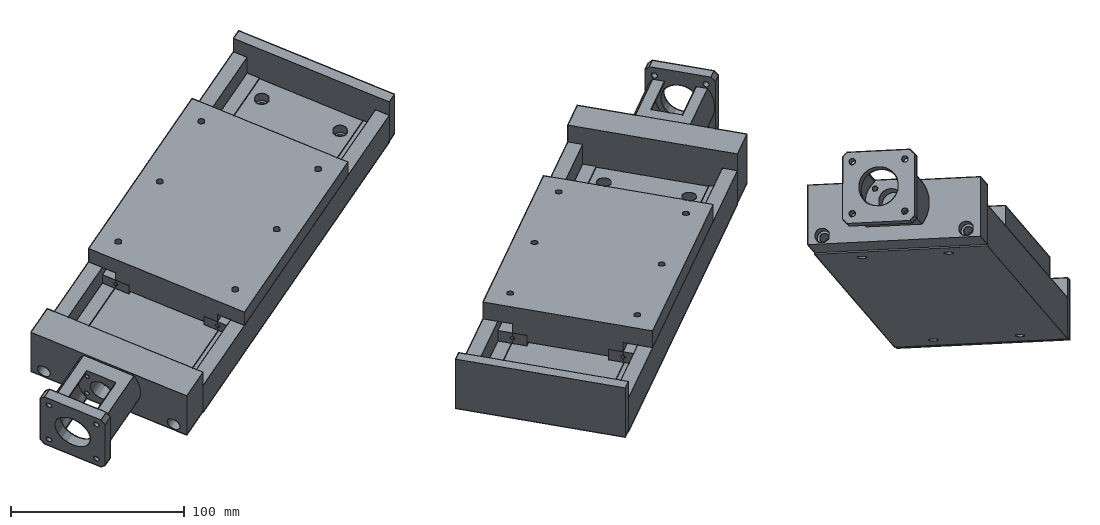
import cadquery as cq

STAGE_WIDTH = 101.5
STAGE_TOP = 36.2
OVERALL_HEIGHT = 43.5

BASE_LENGTH = 228.5
BASE_HEIGHT = 24.3
WALL_THICKNESS = 9.0
FLOOR_TOP = 9.5
RAIL_SEAT_STEP = 0.5
RAIL_SEAT_WIDTH = 8.0
BASE_HOLE_SPACING_X = 51.0
BASE_HOLE_SPACING_Y = 203.0

SCREW_HOLE_DIAMETER = 5.5
COUNTERBORE_DIAMETER = 8.5
COUNTERBORE_DEPTH = 6.5

PLATE_GROUND_GAP = 1.0
END_PLATE_THICKNESS = 6.5
FRONT_BLOCK_THICKNESS = 20.0
BLOCK_HOLE_SPACING = 84.5
BLOCK_HOLE_HEIGHT = 6.0

CARRIAGE_LENGTH = 127.0
CARRIAGE_FLOOR_GAP = 3.3
CARRIAGE_HOLE_DIAMETER = 4.0
CARRIAGE_HOLE_SPACING_X = 76.0
CARRIAGE_HOLE_SPACING_Y = 51.0

RAIL_WIDTH = 8.7
RAIL_HEIGHT = 7.5
RAIL_GROOVE_DEPTH = 1.5

MOUNT_TUBE_DIAMETER = 41.3
MOUNT_TUBE_HEIGHT = 25.2
MOUNT_BACK_WALL = 9.3
MOUNT_WINDOW_WIDTH = 19.0
MOUNT_CAVITY_DIAMETER = 30.0
MOTOR_PILOT_DIAMETER = 23.0
SHAFT_HOLE_DIAMETER = 14.0
MOUNT_SCREW_SPACING_X = 18.5
MOUNT_SCREW_SPACING_Z = 15.0
MOUNT_SCREW_DIAMETER = 3.0
FLANGE_SIZE = 42.2
FLANGE_THICKNESS = 6.5
FLANGE_CHAMFER = 2.7
FLANGE_HOLE_SPACING = 30.8
FLANGE_HOLE_DIAMETER = 3.5
OVERALL_LENGTH = 299.5

CHANNEL_WIDTH = STAGE_WIDTH - 2 * WALL_THICKNESS
CARRIAGE_BODY_WIDTH = CHANNEL_WIDTH - 2 * RAIL_WIDTH
RAIL_BOTTOM = FLOOR_TOP + RAIL_SEAT_STEP
RAIL_TOP = RAIL_BOTTOM + RAIL_HEIGHT
RAIL_JOINT_X = CARRIAGE_BODY_WIDTH / 2
CHANNEL_WALL_X = CHANNEL_WIDTH / 2

BASE_FRONT_Y = -BASE_LENGTH / 2
BASE_BACK_Y = BASE_LENGTH / 2
BLOCK_FRONT_Y = BASE_FRONT_Y - FRONT_BLOCK_THICKNESS
FLANGE_FRONT_Y = BASE_BACK_Y + END_PLATE_THICKNESS - OVERALL_LENGTH
FLANGE_BACK_Y = FLANGE_FRONT_Y + FLANGE_THICKNESS
MOUNT_WALL_Y = BLOCK_FRONT_Y - MOUNT_BACK_WALL
MOUNT_AXIS_Z = OVERALL_HEIGHT - FLANGE_SIZE / 2


def box_between(x_range, y_range, z_range):
    """Axis-aligned box spanning the given (low, high) ranges."""
    (x0, x1), (y0, y1), (z0, z1) = x_range, y_range, z_range
    return cq.Workplane("XY").box(x1 - x0, y1 - y0, z1 - z0, centered=False).translate((x0, y0, z0))


def centered_range(size):
    return (-size / 2, size / 2)


def front_plane(y, z):
    """Workplane facing -Y, with its origin on the X = 0 plane."""
    return cq.Workplane("XZ", origin=(0, y, z))


def make_base():
    """U-shaped base with low rail seats along its walls and counterbored floor holes."""
    base = box_between(centered_range(STAGE_WIDTH), centered_range(BASE_LENGTH), (0, BASE_HEIGHT))
    seat_channel = box_between(
        centered_range(CHANNEL_WIDTH), centered_range(BASE_LENGTH), (RAIL_BOTTOM, BASE_HEIGHT)
    )
    floor_channel = box_between(
        centered_range(CHANNEL_WIDTH - 2 * RAIL_SEAT_WIDTH),
        centered_range(BASE_LENGTH),
        (FLOOR_TOP, BASE_HEIGHT),
    )
    base = base.cut(seat_channel).cut(floor_channel)
    return (
        base.copyWorkplane(cq.Workplane("XY", origin=(0, 0, FLOOR_TOP)))
        .rarray(BASE_HOLE_SPACING_X, BASE_HOLE_SPACING_Y, 2, 2)
        .cboreHole(SCREW_HOLE_DIAMETER, COUNTERBORE_DIAMETER, COUNTERBORE_DEPTH)
    )


def make_end_plate():
    """Plain plate closing the +Y end of the base."""
    return box_between(
        centered_range(STAGE_WIDTH),
        (BASE_BACK_Y, BASE_BACK_Y + END_PLATE_THICKNESS),
        (PLATE_GROUND_GAP, STAGE_TOP),
    )


def make_front_block():
    """Thick block on the -Y end of the base with two counterbored screw holes."""
    block = box_between(
        centered_range(STAGE_WIDTH), (BLOCK_FRONT_Y, BASE_FRONT_Y), (PLATE_GROUND_GAP, STAGE_TOP)
    )
    return (
        block.copyWorkplane(front_plane(BLOCK_FRONT_Y, BLOCK_HOLE_HEIGHT))
        .rarray(BLOCK_HOLE_SPACING, 3, 2, 1)
        .cboreHole(SCREW_HOLE_DIAMETER, COUNTERBORE_DIAMETER, COUNTERBORE_DEPTH)
    )


def make_carriage():
    """Sliding table: a full-width plate over a body notched at its lower corners for rails."""
    length_range = centered_range(CARRIAGE_LENGTH)
    plate = box_between(centered_range(STAGE_WIDTH), length_range, (BASE_HEIGHT, STAGE_TOP))
    body = box_between(centered_range(CARRIAGE_BODY_WIDTH), length_range, (RAIL_TOP, BASE_HEIGHT))
    keel = box_between(
        centered_range(CARRIAGE_BODY_WIDTH - 2 * RAIL_WIDTH),
        length_range,
        (FLOOR_TOP + CARRIAGE_FLOOR_GAP, RAIL_TOP),
    )
    plate = (
        plate.copyWorkplane(cq.Workplane("XY", origin=(0, 0, STAGE_TOP)))
        .rarray(CARRIAGE_HOLE_SPACING_X, CARRIAGE_HOLE_SPACING_Y, 2, 3)
        .hole(CARRIAGE_HOLE_DIAMETER)
    )
    return plate.union(body).union(keel)


def make_rail(back_x, joint_x):
    """Guide rail from its seated back to the joint, where a V groove runs along its face."""
    groove_bottom_x = joint_x + RAIL_GROOVE_DEPTH * (1 if back_x > joint_x else -1)
    middle_z = (RAIL_BOTTOM + RAIL_TOP) / 2
    return (
        front_plane(CARRIAGE_LENGTH / 2, 0)
        .moveTo(back_x, RAIL_BOTTOM)
        .lineTo(joint_x, RAIL_BOTTOM)
        .lineTo(joint_x, middle_z - RAIL_GROOVE_DEPTH)
        .lineTo(groove_bottom_x, middle_z)
        .lineTo(joint_x, middle_z + RAIL_GROOVE_DEPTH)
        .lineTo(joint_x, RAIL_TOP)
        .lineTo(back_x, RAIL_TOP)
        .close()
        .extrude(CARRIAGE_LENGTH)
    )


def make_motor_mount():
    """Flatted tube with a square motor flange, a vertical window and a stepped bore."""
    tube_length = BLOCK_FRONT_Y - FLANGE_BACK_Y
    flats = box_between(
        centered_range(MOUNT_TUBE_DIAMETER),
        (FLANGE_BACK_Y, BLOCK_FRONT_Y),
        (MOUNT_AXIS_Z - MOUNT_TUBE_HEIGHT / 2, MOUNT_AXIS_Z + MOUNT_TUBE_HEIGHT / 2),
    )
    tube = (
        front_plane(BLOCK_FRONT_Y, MOUNT_AXIS_Z)
        .circle(MOUNT_TUBE_DIAMETER / 2)
        .extrude(tube_length)
        .intersect(flats)
    )
    flange = (
        front_plane(FLANGE_BACK_Y, MOUNT_AXIS_Z)
        .rect(FLANGE_SIZE, FLANGE_SIZE)
        .extrude(FLANGE_THICKNESS)
        .edges("|Y")
        .chamfer(FLANGE_CHAMFER)
    )
    window = box_between(
        centered_range(MOUNT_WINDOW_WIDTH), (FLANGE_BACK_Y, MOUNT_WALL_Y), (0, OVERALL_HEIGHT)
    )
    cavity = (
        front_plane(MOUNT_WALL_Y, MOUNT_AXIS_Z)
        .circle(MOUNT_CAVITY_DIAMETER / 2)
        .extrude(MOUNT_WALL_Y - FLANGE_BACK_Y)
    )
    pilot_hole = (
        front_plane(FLANGE_BACK_Y, MOUNT_AXIS_Z)
        .circle(MOTOR_PILOT_DIAMETER / 2)
        .extrude(FLANGE_THICKNESS)
    )
    shaft_hole = (
        front_plane(BLOCK_FRONT_Y, MOUNT_AXIS_Z)
        .circle(SHAFT_HOLE_DIAMETER / 2)
        .extrude(MOUNT_BACK_WALL)
    )
    wall_screw_holes = (
        front_plane(BLOCK_FRONT_Y, MOUNT_AXIS_Z)
        .rarray(MOUNT_SCREW_SPACING_X, MOUNT_SCREW_SPACING_Z, 2, 2)
        .circle(MOUNT_SCREW_DIAMETER / 2)
        .extrude(MOUNT_BACK_WALL)
    )
    flange_holes = (
        front_plane(FLANGE_BACK_Y, MOUNT_AXIS_Z)
        .rarray(FLANGE_HOLE_SPACING, FLANGE_HOLE_SPACING, 2, 2)
        .circle(FLANGE_HOLE_DIAMETER / 2)
        .extrude(FLANGE_THICKNESS)
    )
    mount = tube.union(flange).cut(window).cut(cavity).cut(pilot_hole)
    return mount.cut(shaft_hole).cut(wall_screw_holes).cut(flange_holes)


base = make_base()
end_plate = make_end_plate()
front_block = make_front_block()
carriage = make_carriage()
motor_mount = make_motor_mount()

rails = []
for side in (-1, 1):
    joint_x = side * RAIL_JOINT_X
    rails.append(make_rail(side * CHANNEL_WALL_X, joint_x))
    rails.append(make_rail(side * (RAIL_JOINT_X - RAIL_WIDTH), joint_x))

result = cq.Compound.makeCompound(
    [
        base.val(),
        end_plate.val(),
        front_block.val(),
        carriage.val(),
        motor_mount.val(),
        *[rail.val() for rail in rails],
    ]
)